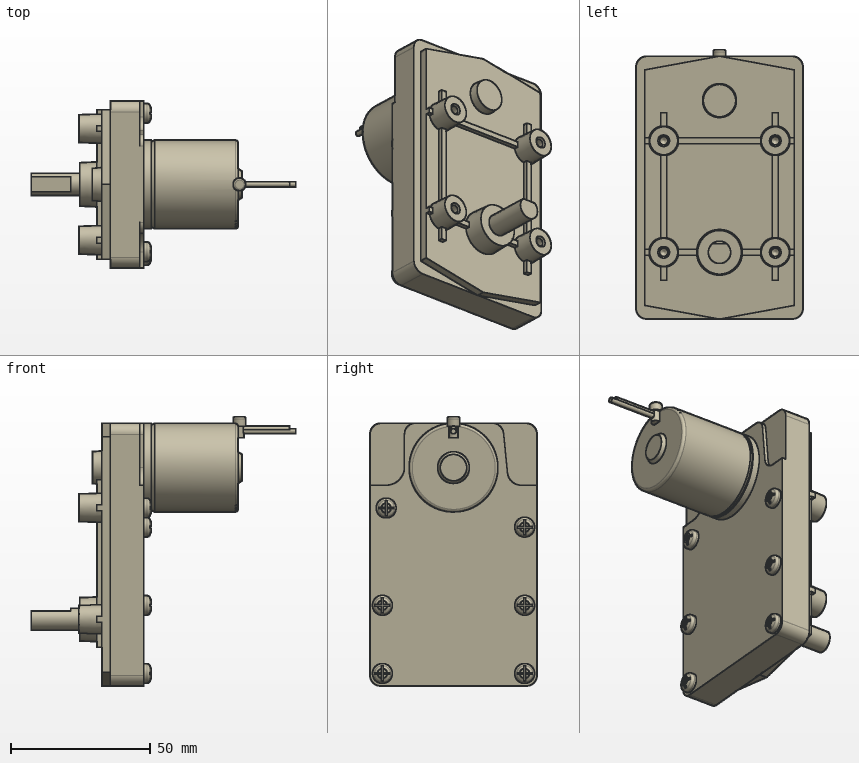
import cadquery as cq


case_width = 60.0
case_height = 94.3
case_bottom = -24.0
case_top = case_bottom + case_height
case_mid_z = (case_bottom + case_top) / 2
case_corner_radius = 4.0
plate_thickness = 3.1
plate_width = 53.7
plate_peak_height = 4.9
cover_start = 13.6
cover_back = 15.1

shoulder_drop = 22.2
shoulder_z = case_top - shoulder_drop
neck_half_width = 17.6
shoulder_lean = 2.2
left_top_round = 4.1
left_foot_round = 4.8
right_top_round = 4.0
right_foot_round = 6.5

boss_pitch = 40.0
boss_length = 8.2
boss_base_radius = 5.3
boss_tip_radius = 5.0
boss_hole_diameter = 3.0
boss_csk_diameter = 4.2
boss_csk_depth = 0.6
drill_tip_depth = 0.9
rib_height = 1.7
rib_width = 2.0
rib_overhang = 10.05

bearing_length = 3.4
bearing_base_radius = 6.1
bearing_tip_radius = 5.8

collar_length = 7.9
collar_base_radius = 8.2
collar_tip_radius = 7.8
shaft_tip = -25.3
shaft_diameter = 8.0
shaft_radius = shaft_diameter / 2
shaft_flat_height = 3.0
shaft_flat_length = 14.1

motor_radius = 15.9
motor_z = case_top - motor_radius
can_start = 17.8
can_back = 48.9
can_front_round = 1.3
can_rear_round = 1.1
groove_radius = 15.4
hub_length = 1.45
hub_base_radius = 5.7
hub_tip_radius = 4.7

outlet_x = 49.4
overall_height = 96.6
outlet_top = case_bottom + overall_height
cap_radius = 2.3
cap_height = 3.4
cap_round = 0.7
stem_radius = 1.6
outlet_height = 7.6
stem_bottom = outlet_top - outlet_height
wire_radius = 1.0
upper_wire_depth = 1.9
upper_wire_z = case_top - upper_wire_depth
lower_wire_z = upper_wire_z - wire_radius
upper_wire_end = 67.4
lower_wire_end = 69.6

screw_radius = 3.6
screw_rim_height = 1.0
screw_shoulder_height = 2.1
screw_shoulder_radius = 2.9
screw_height = 2.7
screw_tip_radius = 1.7
screw_slot_width = 0.7
screw_slot_depth = 0.5
screw_edge_y = 25.5
screw_centers = [
    (-24.2, 39.9),
    (screw_edge_y, 33.05),
    (-screw_edge_y, 5.0),
    (screw_edge_y, 5.0),
    (-screw_edge_y, -19.4),
    (screw_edge_y, -19.4),
]


def plane_at(x, y=0, z=0):
    """Workplane facing +X: local x is Y, local y is Z."""
    return cq.Workplane("YZ", origin=(x, y, z))


def revolve_about_x(outline, z=0):
    """Turn a closed wire of (X, radius) about an axis along X at height z."""
    return outline.close().revolve(360, (0, 0, 0), (1, 0, 0)).translate((0, 0, z))


def front_taper(y, z, length, base_radius, tip_radius):
    """Tapered round boss standing forward from the front plate."""
    outline = (
        cq.Workplane("XY")
        .lineTo(-length, 0)
        .lineTo(-length, tip_radius)
        .lineTo(0, base_radius)
        .lineTo(plate_thickness, base_radius)
        .lineTo(plate_thickness, 0)
    )
    return revolve_about_x(outline).translate((0, y, z))


def make_plate():
    half_width = plate_width / 2
    low_corner = case_bottom + plate_peak_height
    high_corner = case_top - plate_peak_height
    outline = [
        (-half_width, low_corner),
        (0, case_bottom),
        (half_width, low_corner),
        (half_width, high_corner),
        (0, case_top),
        (-half_width, high_corner),
    ]
    return plane_at(0).polyline(outline).close().extrude(plate_thickness)


def make_block(start, end):
    return (
        plane_at(start, 0, case_mid_z)
        .rect(case_width, case_height)
        .extrude(end - start)
        .edges("|X")
        .fillet(case_corner_radius)
    )


def make_cover():
    """Rear cover that narrows to a neck above two rounded shoulders."""
    half_width = case_width / 2
    left_foot = neck_half_width + shoulder_lean
    outline = [
        (-half_width, case_bottom),
        (half_width, case_bottom),
        (half_width, shoulder_z),
        (left_foot, shoulder_z),
        (neck_half_width, case_top),
        (-neck_half_width, case_top),
        (-neck_half_width, shoulder_z),
        (-half_width, shoulder_z),
    ]
    cover = plane_at(cover_start).polyline(outline).close().extrude(cover_back - cover_start)
    cover = cover.edges("|X and <Z").fillet(case_corner_radius)
    mid_x = (cover_start + cover_back) / 2
    rounds = [
        (neck_half_width, case_top, left_top_round),
        (left_foot, shoulder_z, left_foot_round),
        (-neck_half_width, case_top, right_top_round),
        (-neck_half_width, shoulder_z, right_foot_round),
    ]
    for y, z, radius in rounds:
        nearest = cq.selectors.NearestToPointSelector((mid_x, y, z))
        cover = cover.edges("|X").edges(nearest).fillet(radius)
    return cover


def make_ribs():
    """Two upright and two level ribs crossing at the mounting bosses."""
    depth = rib_height + plate_thickness
    upright_length = boss_pitch + 2 * rib_overhang
    half_pitch = boss_pitch / 2
    uprights = (
        plane_at(-rib_height)
        .pushPoints([(-half_pitch, half_pitch), (half_pitch, half_pitch)])
        .rect(rib_width, upright_length)
        .extrude(depth)
    )
    levels = (
        plane_at(-rib_height)
        .pushPoints([(0, 0), (0, boss_pitch)])
        .rect(plate_width, rib_width)
        .extrude(depth)
    )
    return uprights.union(levels)


def make_boss_hole(y, z):
    """Countersunk blind hole with a drill-point bottom at the plate face."""
    radius = boss_hole_diameter / 2
    csk_radius = boss_csk_diameter / 2
    outline = (
        cq.Workplane("XY")
        .moveTo(-boss_length, 0)
        .lineTo(-boss_length, csk_radius)
        .lineTo(-boss_length + boss_csk_depth, radius)
        .lineTo(-drill_tip_depth, radius)
        .lineTo(0, 0)
    )
    return revolve_about_x(outline).translate((0, y, z))


def make_shaft():
    shaft = plane_at(shaft_tip).circle(shaft_radius).extrude(plate_thickness - shaft_tip)
    flat_cut = cq.Workplane("XY", origin=(shaft_tip, 0, shaft_flat_height)).box(
        shaft_flat_length, 2 * shaft_radius, shaft_radius, centered=(False, True, False)
    )
    return shaft.cut(flat_cut)


def make_motor():
    """Turned motor body: mounting neck, grooved joint, can and rear hub."""
    hub_back = can_back + hub_length
    outline = (
        cq.Workplane("XY")
        .moveTo(cover_start, 0)
        .lineTo(cover_start, motor_radius)
        .lineTo(can_start, motor_radius)
        .lineTo(can_start, groove_radius)
        .lineTo(can_start + can_front_round, motor_radius)
        .lineTo(can_back - can_rear_round, motor_radius)
        .tangentArcPoint((can_back, motor_radius - can_rear_round), relative=False)
        .lineTo(can_back, hub_base_radius)
        .lineTo(hub_back, hub_tip_radius)
        .lineTo(hub_back, 0)
    )
    return revolve_about_x(outline, motor_z)


def make_cable_outlet():
    cap = (
        cq.Workplane("XY", origin=(outlet_x, 0, outlet_top - cap_height))
        .circle(cap_radius)
        .extrude(cap_height)
        .faces(">Z")
        .edges()
        .fillet(cap_round)
    )
    stem = (
        cq.Workplane("XY", origin=(outlet_x, 0, stem_bottom))
        .circle(stem_radius)
        .extrude(outlet_top - cap_height - stem_bottom)
    )
    outlet = cap.union(stem)
    for z, end in [(upper_wire_z, upper_wire_end), (lower_wire_z, lower_wire_end)]:
        wire = plane_at(outlet_x, 0, z).circle(wire_radius).extrude(end - outlet_x)
        outlet = outlet.union(wire)
    return outlet


def make_screw(y, z):
    outline = (
        cq.Workplane("XY")
        .lineTo(0, screw_radius)
        .lineTo(screw_rim_height, screw_radius)
        .tangentArcPoint((screw_shoulder_height, screw_shoulder_radius), relative=False)
        .lineTo(screw_height, screw_tip_radius)
        .lineTo(screw_height, 0)
    )
    head = revolve_about_x(outline)
    slot_plane = plane_at(screw_height - screw_slot_depth)
    slot_length = 2 * screw_shoulder_radius
    level_slot = slot_plane.rect(slot_length, screw_slot_width).extrude(screw_slot_depth)
    upright_slot = slot_plane.rect(screw_slot_width, slot_length).extrude(screw_slot_depth)
    return head.cut(level_slot).cut(upright_slot).translate((cover_back, y, z))


boss_centers = [(side * boss_pitch / 2, level) for side in (-1, 1) for level in (0, boss_pitch)]

result = make_plate().union(make_block(plate_thickness, cover_start)).union(make_cover())
result = result.union(make_ribs())
result = result.union(front_taper(0, motor_z, bearing_length, bearing_base_radius, bearing_tip_radius))
result = result.union(front_taper(0, 0, collar_length, collar_base_radius, collar_tip_radius))
for boss_y, boss_z in boss_centers:
    result = result.union(front_taper(boss_y, boss_z, boss_length, boss_base_radius, boss_tip_radius))
for boss_y, boss_z in boss_centers:
    result = result.cut(make_boss_hole(boss_y, boss_z))
result = result.union(make_shaft())
result = result.union(make_motor())
result = result.union(make_cable_outlet())
for screw_y, screw_z in screw_centers:
    result = result.union(make_screw(screw_y, screw_z))